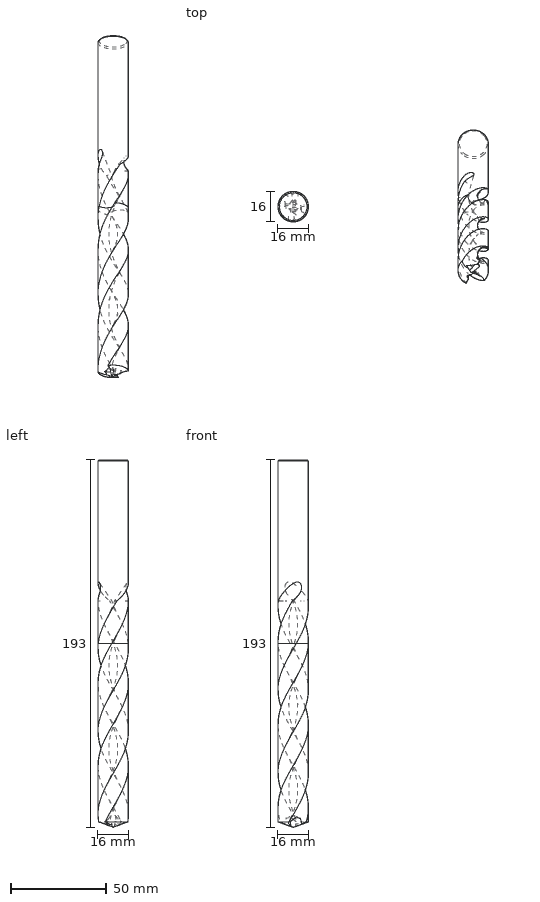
import cadquery as cq
import math

LENGTH = 193.0
DIAMETER = 16.0
CUTTING_LENGTH = 96.5
POINT_ANGLE = 140.0
TOP_CHAMFER = 0.8
HELIX_ANGLE = 30.0
FLUTE_COUNT = 2
FLUTE_RADIUS = 4.8
WEB_THICKNESS = 4.6
FLUTE_END = 118.9
FLUTE_END_DIRECTION = 230.0
RUNOUT_ANGLE = 47.0
RUNOUT_LENGTH = 19.3
GASH_OUTLINE = [(-0.8, -2.0), (-1.5, 3.0), (3.0, 6.5), (4.2, 3.3), (4.2, -2.0)]
GASH_TIP_GAP = 0.4
GASH_SLOPE = 12.0

RADIUS = DIAMETER / 2
POINT_HEIGHT = RADIUS / math.tan(math.radians(POINT_ANGLE / 2))
HELIX_PITCH = math.pi * DIAMETER / math.tan(math.radians(HELIX_ANGLE))
FLUTE_OFFSET = WEB_THICKNESS / 2 + FLUTE_RADIUS
CUTTER_START = -2.0


def flute_cutters(end_direction):
    """Helical groove cutter and a straight tangential run-out."""
    height = FLUTE_END - CUTTER_START
    twist = 360 * height / HELIX_PITCH
    helix = (
        cq.Workplane("XY")
        .moveTo(FLUTE_OFFSET, 0)
        .circle(FLUTE_RADIUS)
        .twistExtrude(height, twist)
        .rotate((0, 0, 0), (0, 0, 1), end_direction - twist)
        .translate((0, 0, CUTTER_START))
    )
    section = cq.Wire.makeCircle(
        FLUTE_RADIUS, cq.Vector(FLUTE_OFFSET, 0, FLUTE_END), cq.Vector(0, 0, 1)
    )
    tilt = math.radians(RUNOUT_ANGLE)
    path = cq.Vector(0, math.sin(tilt), math.cos(tilt)) * RUNOUT_LENGTH
    runout = cq.Solid.extrudeLinear(section, [], path).rotate(
        cq.Vector(0, 0, 0), cq.Vector(0, 0, 1), end_direction
    )
    return helix, runout


def cut_flutes(body):
    for index in range(FLUTE_COUNT):
        direction = FLUTE_END_DIRECTION + index * 360 / FLUTE_COUNT
        for cutter in flute_cutters(direction):
            body = body.cut(cutter)
    return body


def gash_cutter():
    """Pocket with a sloping floor that thins the web beside the point."""
    outline = cq.Workplane("XZ").polyline(GASH_OUTLINE).close().extrude(DIAMETER)
    floor_direction = (0, -math.cos(math.radians(GASH_SLOPE)), -math.sin(math.radians(GASH_SLOPE)))
    floor = cq.Plane(origin=(0, -GASH_TIP_GAP, 0), xDir=(1, 0, 0), normal=floor_direction)
    open_side = cq.Workplane(floor).rect(2 * DIAMETER, 2 * DIAMETER).extrude(2 * DIAMETER)
    return outline.intersect(open_side)


def cut_gashes(body):
    cutter = gash_cutter()
    for index in range(FLUTE_COUNT):
        body = body.cut(cutter.rotate((0, 0, 0), (0, 0, 1), index * 360 / FLUTE_COUNT))
    return body


def make_cutting_body():
    """Lower part of the drill: conical point, helical flutes and web gashes."""
    blank = (
        cq.Workplane("XZ")
        .polyline([(0, 0), (RADIUS, POINT_HEIGHT), (RADIUS, CUTTING_LENGTH), (0, CUTTING_LENGTH)])
        .close()
        .revolve(360, (0, 0), (0, 1))
    )
    return cut_gashes(cut_flutes(blank))


def make_shank_body():
    """Fluted neck with the run-outs, and the plain shank above it."""
    blank = cq.Workplane("XY", origin=(0, 0, CUTTING_LENGTH)).circle(RADIUS).extrude(LENGTH - CUTTING_LENGTH)
    return cut_flutes(blank.faces(">Z").chamfer(TOP_CHAMFER))


cutting_body = make_cutting_body()
shank_body = make_shank_body()
result = cq.Compound.makeCompound([cutting_body.val(), shank_body.val()])